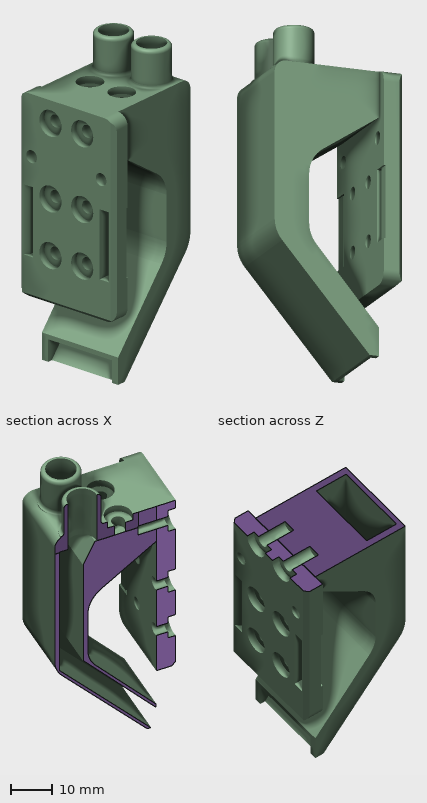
import cadquery as cq
import math


PLATE_WIDTH = 30.0
PLATE_THICKNESS = 5.2
PLATE_BOTTOM = 18.0
PLATE_TOP = 72.0
PLATE_CORNER_RADIUS = 3.0
PLATE_CHAMFER = 1.1

SCREW_DIAMETER = 3.4
SCREW_HEAD_DIAMETER = 7.0
SCREW_HEAD_DEPTH = 2.0
SCREW_SPACING = 10.0
PLATE_SCREW_HEIGHTS = (31.1, 46.0, 65.9)

CORD_HOLE_DIAMETER = 3.4
CORD_HOLE_SPACING = 21.9
CORD_HOLE_HEIGHT = 55.5
SLOT_BOTTOM = 29.1
SLOT_TOP = 47.6
SLOT_INNER_X = 10.5
SLOT_OUTER_X = 12.3
SLOT_CHAMFER = 1.15
STRAP_NOTCH_DEPTH = 0.5

DUCT_WIDTH = 24.0
DUCT_DEPTH = 27.3
SIDE_WALL = 2.0
OUTLET_WALL = 0.8
CHANNEL_WALL = 1.4
CHANNEL_DEPTH = 9.0
BEND_HEIGHT = 28.7
BEND_RADIUS = 8.0
OUTLET_TOP = 7.2
OUTLET_FOOT = 2.5
RAMP_LOW = 48.4
RAMP_HIGH = 60.4
INLET_DEPTH = 10.8
FUNNEL_BOTTOM = 60.4

CAP_DEPTH = 22.5
CAP_THICKNESS = 5.0
CAP_BACK_RADIUS = 3.0
CAP_SCREW_FROM_BACK = 17.55
TUBE_DIAMETER = 10.0
TUBE_BORE = 7.6
TUBE_LENGTH = 10.0
TUBE_SPACING = 12.0
TUBE_FROM_BACK = 7.5
TUBE_RIM_RADIUS = 1.0
TUBE_BASE_RADIUS = 0.8
TUBE_FOOT_DEPTH = 0.5

CAP_BOTTOM = PLATE_TOP - CAP_THICKNESS
CAP_FRONT = DUCT_DEPTH - CAP_DEPTH
CHANNEL_FRONT = DUCT_DEPTH - CHANNEL_DEPTH
SIDES = (-1, 1)


def box_between(x_range, y_range, z_range):
    """Axis-aligned box given by its limits along X, Y and Z."""
    size = [high - low for low, high in (x_range, y_range, z_range)]
    corner = (x_range[0], y_range[0], z_range[0])
    return cq.Workplane("XY").box(*size, centered=False).translate(corner)


def hole_along_y(diameter, x, z, start, depth):
    """Cylinder starting at Y = start and running toward +Y."""
    return cq.Workplane(cq.Solid.makeCylinder(diameter / 2, depth, cq.Vector(x, start, z), cq.Vector(0, 1, 0)))


def upright_cylinder(diameter, x, y, bottom, height):
    return cq.Workplane(cq.Solid.makeCylinder(diameter / 2, height, cq.Vector(x, y, bottom)))


def side_profile(points, width):
    """Closed outline of (Y, Z) points, extruded along X about the middle plane."""
    return cq.Workplane("YZ").polyline(points).close().extrude(width / 2, both=True)


def make_strap_slot(side):
    """Slot with a bevelled outer front edge and a shallow notch to the plate's side at the back."""
    outline = [
        (side * SLOT_INNER_X, -PLATE_THICKNESS),
        (side * (SLOT_OUTER_X + SLOT_CHAMFER), -PLATE_THICKNESS),
        (side * SLOT_OUTER_X, SLOT_CHAMFER - PLATE_THICKNESS),
        (side * SLOT_OUTER_X, 0),
        (side * SLOT_INNER_X, 0),
    ]
    height = SLOT_TOP - SLOT_BOTTOM
    slot = cq.Workplane("XY").workplane(offset=SLOT_BOTTOM).polyline(outline).close().extrude(height)
    notch_x = sorted((side * SLOT_INNER_X, side * PLATE_WIDTH / 2))
    notch = box_between(notch_x, (-STRAP_NOTCH_DEPTH, 0), (SLOT_BOTTOM, SLOT_TOP))
    return slot.union(notch)


def make_plate():
    half_width = PLATE_WIDTH / 2
    limits = ((-half_width, half_width), (-PLATE_THICKNESS, 0), (PLATE_BOTTOM, PLATE_TOP))
    rounded = box_between(*limits).edges("|Y").fillet(PLATE_CORNER_RADIUS)
    bevelled = box_between(*limits).faces("<Y").edges("|Z or <Z").chamfer(PLATE_CHAMFER)
    plate = rounded.intersect(bevelled)

    for side in SIDES:
        x = side * SCREW_SPACING / 2
        for z in PLATE_SCREW_HEIGHTS:
            plate = plate.cut(hole_along_y(SCREW_DIAMETER, x, z, -PLATE_THICKNESS, PLATE_THICKNESS))
            plate = plate.cut(hole_along_y(SCREW_HEAD_DIAMETER, x, z, -PLATE_THICKNESS, SCREW_HEAD_DEPTH))
        cord_x = side * CORD_HOLE_SPACING / 2
        plate = plate.cut(
            hole_along_y(CORD_HOLE_DIAMETER, cord_x, CORD_HOLE_HEIGHT, -PLATE_THICKNESS, PLATE_THICKNESS)
        )
        plate = plate.cut(make_strap_slot(side))
    return plate


def make_duct_body():
    """Solid duct: straight channel, slanted outlet and upper block with a ramped underside."""
    body = side_profile(
        [
            (0, PLATE_TOP),
            (0, RAMP_HIGH),
            (CHANNEL_FRONT, RAMP_LOW),
            (CHANNEL_FRONT, BEND_HEIGHT),
            (0, OUTLET_TOP),
            (0, 0),
            (OUTLET_FOOT, 0),
            (DUCT_DEPTH, BEND_HEIGHT),
            (DUCT_DEPTH, CAP_BOTTOM),
            (CAP_FRONT, CAP_BOTTOM),
            (CAP_FRONT, PLATE_TOP),
        ],
        DUCT_WIDTH,
    )
    for y, z in ((CHANNEL_FRONT, RAMP_LOW), (CHANNEL_FRONT, BEND_HEIGHT), (DUCT_DEPTH, BEND_HEIGHT)):
        bend = cq.selectors.NearestToPointSelector((0, y, z))
        body = body.edges("|X").edges(bend).fillet(BEND_RADIUS)
    return body


def make_duct_cavity():
    """Air passage from a funnel at the open top, down the channel and out through the slanted outlet."""
    front_angle = math.atan2(BEND_HEIGHT - OUTLET_TOP, CHANNEL_FRONT)
    back_angle = math.atan2(BEND_HEIGHT, DUCT_DEPTH - OUTLET_FOOT)
    front_drop = OUTLET_WALL / math.cos(front_angle)
    back_rise = OUTLET_WALL / math.cos(back_angle)

    inner_front = CHANNEL_FRONT + CHANNEL_WALL
    inner_back = DUCT_DEPTH - CHANNEL_WALL
    inlet_front = DUCT_DEPTH - INLET_DEPTH

    def front_roof(y):
        return OUTLET_TOP + y * math.tan(front_angle) - front_drop

    def back_floor(y):
        return (y - OUTLET_FOOT) * math.tan(back_angle) + back_rise

    return side_profile(
        [
            (0, front_roof(0)),
            (inner_front, front_roof(inner_front)),
            (inner_front, FUNNEL_BOTTOM),
            (inlet_front, CAP_BOTTOM),
            (inner_back, CAP_BOTTOM),
            (inner_back, back_floor(inner_back)),
            (0, back_floor(0)),
        ],
        DUCT_WIDTH - 2 * SIDE_WALL,
    )


def make_duct():
    duct = make_duct_body().cut(make_duct_cavity())
    for side in SIDES:
        x = side * SCREW_SPACING / 2
        duct = duct.cut(hole_along_y(SCREW_DIAMETER, x, max(PLATE_SCREW_HEIGHTS), 0, CAP_FRONT))
    return duct


def make_tube():
    """Solid hose tube standing on Z = 0, with a flared foot that sinks into the rounded cap edge."""
    radius = TUBE_DIAMETER / 2
    flare = TUBE_BASE_RADIUS
    rim = TUBE_RIM_RADIUS
    half_profile = (
        cq.Workplane("XZ")
        .moveTo(0, -TUBE_FOOT_DEPTH)
        .lineTo(radius + flare, -TUBE_FOOT_DEPTH)
        .lineTo(radius + flare, 0)
        .radiusArc((radius, flare), flare)
        .lineTo(radius, TUBE_LENGTH - rim)
        .radiusArc((radius - rim, TUBE_LENGTH), -rim)
        .lineTo(0, TUBE_LENGTH)
        .close()
    )
    return half_profile.revolve(360, (0, 0, 0), (0, 1, 0))


def make_cap():
    half_width = DUCT_WIDTH / 2
    cap = box_between((-half_width, half_width), (CAP_FRONT, DUCT_DEPTH), (CAP_BOTTOM, PLATE_TOP))
    cap = cap.edges(">Y and >Z").fillet(CAP_BACK_RADIUS)
    tube_y = DUCT_DEPTH - TUBE_FROM_BACK
    screw_y = DUCT_DEPTH - CAP_SCREW_FROM_BACK

    for side in SIDES:
        tube_x = side * TUBE_SPACING / 2
        screw_x = side * SCREW_SPACING / 2
        cap = cap.union(make_tube().translate((tube_x, tube_y, PLATE_TOP)))
        cap = cap.cut(
            upright_cylinder(TUBE_BORE, tube_x, tube_y, CAP_BOTTOM, CAP_THICKNESS + TUBE_LENGTH)
        )
        cap = cap.cut(upright_cylinder(SCREW_DIAMETER, screw_x, screw_y, CAP_BOTTOM, CAP_THICKNESS))
        head_bottom = PLATE_TOP - SCREW_HEAD_DEPTH
        cap = cap.cut(
            upright_cylinder(SCREW_HEAD_DIAMETER, screw_x, screw_y, head_bottom, SCREW_HEAD_DEPTH)
        )
    return cap


plate = make_plate()
duct = make_duct()
cap = make_cap()

result = cq.Compound.makeCompound([plate.val(), duct.val(), cap.val()])